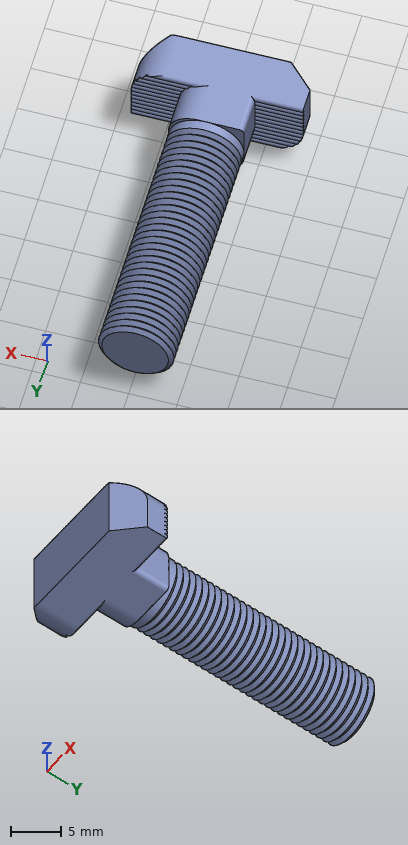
import cadquery as cq

length = 35.3
diameter = 7.8
head_width = 17.8
head_depth = 5.25
head_corner_radius = 3.53
head_chamfer = 2.72

neck_end = 9.2
neck_large_radius = 3.0
neck_small_radius = 0.53

ridge_count = 12
ridge_height = 0.32

thread_start = 10.2
thread_turns = 31
thread_depth = 0.45

radius = diameter / 2
half_height = radius
ridge_pitch = diameter / ridge_count
thread_pitch = (length - thread_start) / (thread_turns + 0.5)
root_radius = radius - thread_depth


def block_along_y(width, start, end):
    """Block of the common height, centred on the screw axis, from Y = start to Y = end."""
    middle = (start + end) / 2
    return cq.Workplane("XY").box(width, end - start, diameter).translate((0, middle, 0))


def round_diagonal_corners(block, corner_radius, side):
    """Round the upper corner on one X side (+1 or -1) and the lower corner on the other."""
    edges = [
        edge for edge in block.edges("|Y").vals()
        if side * edge.Center().x * edge.Center().z > 0
    ]
    return block.newObject(edges).fillet(corner_radius)


def make_ridged_bar():
    """Bar along X whose back face is a row of rounded ridges meeting in sharp valleys."""
    valley_y = head_depth - ridge_height
    profile = (
        cq.Workplane("YZ", origin=(-head_width / 2, 0, 0))
        .moveTo(0, -half_height)
        .lineTo(valley_y, -half_height)
    )
    for index in range(ridge_count):
        bottom = -half_height + index * ridge_pitch
        crest = (head_depth, bottom + ridge_pitch / 2)
        profile = profile.threePointArc(crest, (valley_y, bottom + ridge_pitch))
    return profile.lineTo(0, half_height).close().extrude(head_width)


def make_head():
    """T head with front chamfers, rounded corners and a ridged back, and the neck behind it."""
    plate = block_along_y(head_width, 0, head_depth)
    chamfered = plate.faces("<Y").edges("|Z").chamfer(head_chamfer)
    rounded = round_diagonal_corners(plate, head_corner_radius, 1)
    plate = make_ridged_bar().intersect(rounded).intersect(chamfered)

    neck = block_along_y(diameter, head_chamfer, neck_end)
    neck = round_diagonal_corners(neck, neck_large_radius, 1)
    neck = round_diagonal_corners(neck, neck_small_radius, -1)
    return plate.union(neck)


def make_shank():
    """Plain collar followed by ring-shaped thread grooves, revolved about the Y axis."""
    profile = (
        cq.Workplane("YZ")
        .moveTo(neck_end, 0)
        .lineTo(neck_end, radius)
        .lineTo(thread_start, radius)
    )
    for turn in range(1, thread_turns + 1):
        crest = thread_start + turn * thread_pitch
        profile = profile.lineTo(crest - thread_pitch / 2, root_radius).lineTo(crest, radius)
    profile = profile.lineTo(length, root_radius).lineTo(length, 0).close()
    return profile.revolve(360, (0, 0, 0), (1, 0, 0))


head = make_head()
shank = make_shank()
result = cq.Compound.makeCompound([head.solids().val(), shank.val()])